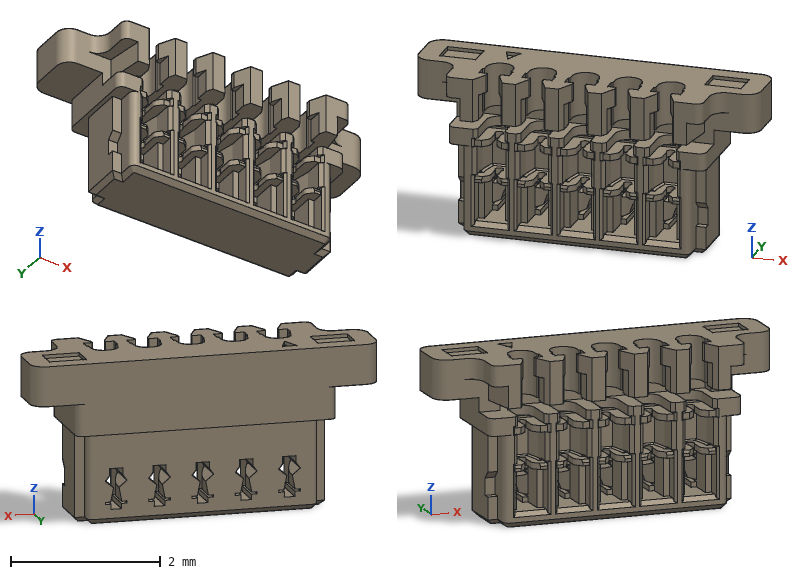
import cadquery as cq
import math


CELL_COUNT = 5
CELL_PITCH = 0.6
CELL_CENTRES = [(i - (CELL_COUNT - 1) / 2) * CELL_PITCH for i in range(CELL_COUNT)]

FLANGE_LENGTH = 4.8
FLANGE_REACH = 0.82
FLANGE_DEPTH = 0.55
FLANGE_RADIUS = 0.2
COMB_HALF = 1.8
COMB_REACH = 1.37
COMB_SHOULDER_DEPTH = 0.29
COMB_DEPTH = 0.6
COMB_CORNER_RADIUS = 0.1
COMB_ROOT_HALF = 1.665
COMB_TIP_HALF = 1.585

COLLAR_DEPTH = 1.0
SHELF_DEPTH = 0.755
BODY_FRONT = 1.24
BODY_BACK = 0.2
BODY_DEPTH = 2.28
BODY_HALF = 1.595
RIB_HALF = 1.735
RIB_BACK = 0.375
RIB_FRONT = 0.97
BODY_FRONT_RADIUS = 0.09
BODY_BACK_RADIUS = 0.075
BOTTOM_CHAMFER = 0.07
GAP_HALF = 1.5
GAP_BACK = 0.6

NOTCH_BACK = 0.87
NOTCH_TOP = 1.55
NOTCH_BOTTOM = 1.89

MARK_DEPTH = 0.05
WINDOW_X = 1.86
WINDOW_LENGTH = 0.51
WINDOW_BACK = 0.245
WINDOW_FRONT = 0.61
ARROW_HALF = 0.1
ARROW_BACK = 0.2
ARROW_TIP = 0.45

POCKET_HALF = 0.185
POCKET_BACK = 0.635
POCKET_FRONT = 1.07
HEEL_HALF = 0.21
HEEL_BACK = 0.91
NECK_HALF = 0.09
NECK_FRONT = 1.135
MOUTH_HALF = 0.205
LATCH_DEPTH = 0.25
THROAT_HALF = 0.16
SHELF_MOUTH_HALF = 0.24

BAR_BACK = 0.68
BAR_FRONT = 1.19
SEAT_DEPTH = 0.89
SEAT_HALF = 0.235
UPPER_BAR_TOP = 0.915
UPPER_BAR_BOTTOM = 1.01
LOWER_MOUTH_TOP = 1.405
LOWER_BAR_TOP = 1.435
LOWER_BAR_BOTTOM = 1.52
LOWER_BAR_BEVEL_HEIGHT = 0.045
LOWER_BAR_BEVEL_REACH = 0.015
SLOT_RADIUS = 0.06
SLOT_BACK = 0.78
SLOT_NECK_HALF = 0.0455
SLOT_FLARE_HALF = 0.14
SLOT_FLARE_RADIUS = 0.07

UPPER_MOUTH_HALF = 0.265
BAR_HALF = 0.235
MIDDLE_MOUTH_HALF = 0.255
MIDDLE_HALF = 0.2
CHAMBER_FOOT_RISE = 0.015
CHAMBER_FOOT_REACH = 0.04
MIDDLE_TAPER_FRONT = 0.93
LOWER_MOUTH_HALF = 0.27
INNER_HALF = 0.15
LOWER_STEP = 1.025
FLOOR_DEPTH = 2.085
FLOOR_LIP_DEPTH = 2.135
FLOOR_SLOPE_BACK = 1.14

TAB_BOTTOM = 1.62
SPRING_TOP = 1.695
PINCH_HALF = 0.04
PINCH_DEPTH = 1.785
SPRING_FOOT_HALF = 0.075
SPRING_BOTTOM = 1.98
FOOT_TOP = 2.01
FOOT_HALF = 0.07
SPRING_ARC_RADIUS = 0.79


def block(half, back, front, top, bottom, x=0):
    """Box centred on x, between two reaches and two depths."""
    return cq.Workplane("XY").box(2 * half, front - back, bottom - top).translate(
        (x, -(back + front) / 2, -(top + bottom) / 2)
    )


def plan(points, top, bottom):
    """Prism from (x, reach) points between two depths."""
    outline = [(x, -reach) for x, reach in points]
    return cq.Workplane("XY").workplane(offset=-bottom).polyline(outline).close().extrude(bottom - top)


def mirrored_plan(half_points, top, bottom):
    """Prism symmetric about x = 0 from the (x, reach) points of its right half."""
    return plan(half_points + [(-x, reach) for x, reach in reversed(half_points)], top, bottom)


def side_prism(points, half, x=0):
    """Prism along X from (reach, depth) points, centred on x."""
    outline = [(-reach, -depth) for reach, depth in points]
    return cq.Workplane("YZ").workplane(offset=x - half).polyline(outline).close().extrude(2 * half)


def flange():
    plate = block(FLANGE_LENGTH / 2, 0, FLANGE_REACH, 0, FLANGE_DEPTH)
    return plate.edges("|Z").fillet(FLANGE_RADIUS)


def comb():
    """Toothed front of the flange, with wide shoulders above a narrower, tapered root."""
    shoulders = block(COMB_HALF, FLANGE_RADIUS, COMB_REACH, 0, COMB_SHOULDER_DEPTH)
    shoulders = shoulders.edges("|Z and <Y").fillet(COMB_CORNER_RADIUS)
    root = mirrored_plan(
        [(COMB_ROOT_HALF, GAP_BACK), (COMB_ROOT_HALF, FLANGE_REACH), (COMB_TIP_HALF, COMB_REACH)],
        0,
        COMB_DEPTH,
    )
    solid = shoulders.union(root)
    for side in (-1, 1):
        corner = block(
            FLANGE_RADIUS / 2,
            FLANGE_REACH,
            FLANGE_REACH + FLANGE_RADIUS,
            0,
            COMB_SHOULDER_DEPTH,
            side * (COMB_HALF + FLANGE_RADIUS / 2),
        )
        hollow = (
            cq.Workplane("XY")
            .workplane(offset=-COMB_SHOULDER_DEPTH)
            .center(side * (COMB_HALF + FLANGE_RADIUS), -(FLANGE_REACH + FLANGE_RADIUS))
            .circle(FLANGE_RADIUS)
            .extrude(COMB_SHOULDER_DEPTH)
        )
        solid = solid.union(corner.cut(hollow))
    return solid


def collar():
    wide = block(COMB_HALF, 0, BODY_FRONT, 0, COLLAR_DEPTH).edges("|Z").fillet(COMB_CORNER_RADIUS)
    return wide.cut(block(FLANGE_LENGTH, FLANGE_REACH, COMB_REACH, 0, SHELF_DEPTH))


def lower_body():
    """Block below the collar with a notched rib on each side and a chamfered bottom rim."""
    core = block(BODY_HALF, BODY_BACK, BODY_FRONT, COLLAR_DEPTH, BODY_DEPTH)
    core = core.edges("|Z and <Y").fillet(BODY_FRONT_RADIUS)
    core = core.edges("|Z and >Y").fillet(BODY_BACK_RADIUS).faces("<Z").chamfer(BOTTOM_CHAMFER)
    ribs = block(RIB_HALF, RIB_BACK, RIB_FRONT, COLLAR_DEPTH, BODY_DEPTH)
    solid = core.union(ribs.faces("<Z").chamfer(BOTTOM_CHAMFER))
    notch_profile = [
        (RIB_FRONT, NOTCH_TOP),
        (NOTCH_BACK, NOTCH_TOP + RIB_FRONT - NOTCH_BACK),
        (NOTCH_BACK, NOTCH_BOTTOM),
        (RIB_FRONT, NOTCH_BOTTOM),
    ]
    for side in (-1, 1):
        rib_half_width = (RIB_HALF - BODY_HALF) / 2
        solid = solid.cut(side_prism(notch_profile, rib_half_width, side * (BODY_HALF + rib_half_width)))
    return solid


def top_marks():
    """Two shallow windows near the ends and an arrow that points at the first cell."""
    marks = plan(
        [
            (CELL_CENTRES[0] - ARROW_HALF, ARROW_BACK),
            (CELL_CENTRES[0] + ARROW_HALF, ARROW_BACK),
            (CELL_CENTRES[0], ARROW_TIP),
        ],
        0,
        MARK_DEPTH,
    )
    for side in (-1, 1):
        marks = marks.union(
            block(WINDOW_LENGTH / 2, WINDOW_BACK, WINDOW_FRONT, 0, MARK_DEPTH, side * WINDOW_X)
        )
    return marks


def round_backed_slot(half, back, front, top, bottom):
    """Straight slot that ends in a half circle at the back."""
    slot = block(half, back + half, front, top, bottom)
    end = cq.Workplane("XY").workplane(offset=-bottom).center(0, -(back + half)).circle(half)
    return slot.union(end.extrude(bottom - top))


def wire_pocket():
    """Keyhole through the comb and the shelf, with a narrow latch at the top of the teeth."""
    hole = round_backed_slot(POCKET_HALF, POCKET_BACK, POCKET_FRONT, 0, SEAT_DEPTH)
    heel = block(HEEL_HALF, HEEL_BACK, POCKET_FRONT, 0, COMB_DEPTH)
    neck = mirrored_plan(
        [
            (NECK_HALF, POCKET_FRONT),
            (NECK_HALF, NECK_FRONT),
            (MOUTH_HALF, COMB_REACH),
        ],
        0,
        COMB_DEPTH,
    )
    throat = block(THROAT_HALF, POCKET_FRONT, COMB_REACH, LATCH_DEPTH, COMB_DEPTH)
    chamfer = SHELF_MOUTH_HALF - POCKET_HALF
    shelf_mouth = mirrored_plan(
        [
            (POCKET_HALF, POCKET_FRONT),
            (POCKET_HALF, BODY_FRONT - chamfer),
            (SHELF_MOUTH_HALF, BODY_FRONT),
        ],
        SHELF_DEPTH,
        SEAT_DEPTH,
    )
    return hole.union(heel).union(neck).union(throat).union(shelf_mouth)


def bar_slot(top, bottom):
    """Wire slot in a contact bar: round end, straight neck and flared entry."""
    flare = SLOT_FLARE_HALF - SLOT_NECK_HALF
    eye = (
        cq.Workplane("XY")
        .workplane(offset=-bottom)
        .center(0, -(SLOT_BACK + SLOT_RADIUS))
        .circle(SLOT_RADIUS)
        .extrude(bottom - top)
    )
    entry = mirrored_plan(
        [
            (SLOT_NECK_HALF, SLOT_BACK + SLOT_RADIUS),
            (SLOT_NECK_HALF, BAR_FRONT - flare),
            (SLOT_FLARE_HALF, BAR_FRONT),
        ],
        top,
        bottom,
    )
    neck_corners = cq.selectors.BoxSelector(
        (-SLOT_RADIUS, flare - BAR_FRONT - SLOT_RADIUS, -bottom),
        (SLOT_RADIUS, flare - BAR_FRONT + SLOT_RADIUS, -top),
    )
    return eye.union(entry.edges(neck_corners).edges("|Z").fillet(SLOT_FLARE_RADIUS))


def upper_cell():
    """Seat above the upper bar, the bar's slot, and the tapered chamber between the bars."""
    seat = block(SEAT_HALF, BAR_BACK, BODY_FRONT, SEAT_DEPTH, UPPER_BAR_TOP)
    front_mouth = mirrored_plan(
        [(BAR_HALF, BAR_FRONT), (UPPER_MOUTH_HALF, BODY_FRONT)], SEAT_DEPTH, UPPER_BAR_BOTTOM
    )
    chamber = mirrored_plan(
        [
            (INNER_HALF, BAR_BACK),
            (MIDDLE_HALF, MIDDLE_TAPER_FRONT),
            (MIDDLE_HALF, BAR_FRONT),
            (MIDDLE_MOUTH_HALF, BODY_FRONT),
        ],
        UPPER_BAR_BOTTOM,
        LOWER_BAR_TOP,
    )
    chamber = chamber.faces("<Z").edges("not <Y").chamfer(CHAMBER_FOOT_RISE, CHAMBER_FOOT_REACH)
    slot = bar_slot(UPPER_BAR_TOP, UPPER_BAR_BOTTOM)
    return seat.union(front_mouth).union(chamber).union(slot)


def lower_cell():
    """Lower bar's slot and bevelled front, and the chamber below it with a sloping sill."""
    chamfer = LOWER_MOUTH_HALF - BAR_HALF
    mouth = mirrored_plan(
        [
            (BAR_HALF, LOWER_STEP),
            (BAR_HALF, BODY_FRONT - chamfer),
            (LOWER_MOUTH_HALF, BODY_FRONT),
        ],
        LOWER_MOUTH_TOP,
        FLOOR_LIP_DEPTH,
    )
    bar = side_prism(
        [
            (BAR_BACK, LOWER_BAR_TOP),
            (BAR_FRONT - LOWER_BAR_BEVEL_REACH, LOWER_BAR_TOP),
            (BAR_FRONT, LOWER_BAR_TOP + LOWER_BAR_BEVEL_HEIGHT),
            (BAR_FRONT, LOWER_BAR_BOTTOM),
            (BAR_BACK, LOWER_BAR_BOTTOM),
        ],
        LOWER_MOUTH_HALF,
    )
    sill = side_prism(
        [
            (BAR_BACK, FLOOR_DEPTH),
            (FLOOR_SLOPE_BACK, FLOOR_DEPTH),
            (BODY_FRONT, FLOOR_LIP_DEPTH),
            (BAR_BACK, FLOOR_LIP_DEPTH),
        ],
        LOWER_MOUTH_HALF,
    )
    inner = block(INNER_HALF, BAR_BACK, LOWER_STEP, LOWER_BAR_BOTTOM, FLOOR_DEPTH)
    slot = bar_slot(LOWER_BAR_TOP, LOWER_BAR_BOTTOM)
    return mouth.cut(bar).cut(sill).union(inner).union(slot)


def spring_opening():
    """Opening through the back wall, pinched between two springs that curve in from the front."""
    right_edge = [
        (NECK_HALF, LOWER_BAR_BOTTOM),
        (NECK_HALF, TAB_BOTTOM),
        (INNER_HALF, SPRING_TOP),
        (PINCH_HALF, PINCH_DEPTH),
        (SPRING_FOOT_HALF, SPRING_BOTTOM),
        (INNER_HALF, SPRING_BOTTOM),
        (INNER_HALF, FOOT_TOP),
        (FOOT_HALF, FOOT_TOP),
        (FOOT_HALF, FLOOR_DEPTH),
    ]
    outline = [(x, -depth) for x, depth in right_edge]
    outline += [(-x, z) for x, z in reversed(outline)]
    opening = (
        cq.Workplane("XZ").workplane(offset=BODY_BACK).polyline(outline).close().extrude(BAR_BACK - BODY_BACK)
    )

    arc_angle = math.acos(1 - (INNER_HALF - PINCH_HALF) / SPRING_ARC_RADIUS)
    arc_end = BAR_BACK - SPRING_ARC_RADIUS * math.sin(arc_angle)
    middle_x = PINCH_HALF + SPRING_ARC_RADIUS * (1 - math.cos(arc_angle / 2))
    middle_reach = arc_end + SPRING_ARC_RADIUS * math.sin(arc_angle / 2)
    lead_in = (
        cq.Workplane("XY")
        .workplane(offset=-SPRING_BOTTOM)
        .moveTo(-PINCH_HALF, -arc_end)
        .lineTo(PINCH_HALF, -arc_end)
        .threePointArc((middle_x, -middle_reach), (INNER_HALF, -BAR_BACK))
        .lineTo(-INNER_HALF, -BAR_BACK)
        .threePointArc((-middle_x, -middle_reach), (-PINCH_HALF, -arc_end))
        .close()
        .extrude(SPRING_BOTTOM - TAB_BOTTOM)
    )
    ceiling_rise = SPRING_TOP - TAB_BOTTOM
    ceiling = side_prism(
        [
            (BAR_BACK, TAB_BOTTOM),
            (BAR_BACK - ceiling_rise, SPRING_TOP),
            (BODY_BACK, SPRING_TOP),
            (BODY_BACK, TAB_BOTTOM),
        ],
        INNER_HALF,
    )
    return opening.union(lead_in.cut(ceiling))


housing = flange().union(collar()).union(lower_body())
housing = housing.cut(block(GAP_HALF, GAP_BACK, COMB_REACH, 0, SHELF_DEPTH)).union(comb())
housing = housing.cut(top_marks())

cell = wire_pocket().union(upper_cell()).union(lower_cell()).union(spring_opening())
for centre in CELL_CENTRES:
    housing = housing.cut(cell.translate((centre, 0, 0)))

result = housing